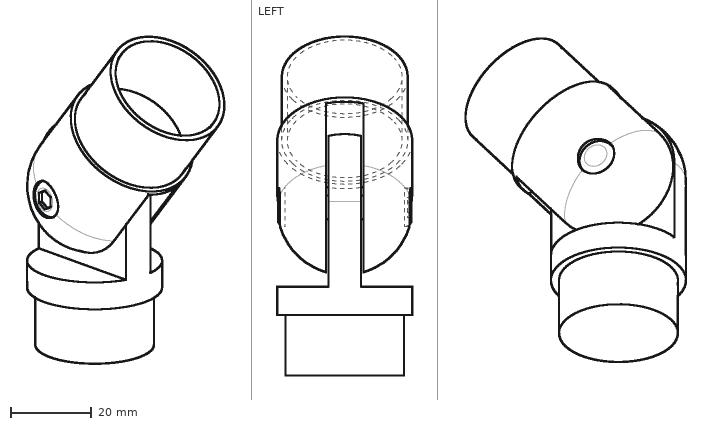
import cadquery as cq

tilt_angle = 40.0
body_diameter = 33.7
body_radius = body_diameter / 2
pivot_height = 41.9

spigot_diameter = 29.7
spigot_length = 15.05
collar_top = 22.15
tongue_thickness = 8.2
tongue_dome_height = 43.4

body_length = 21.65
tube_end = 42.45
tube_diameter = 31.45
tube_bore = 28.7
slot_width = 9.3
slot_end = 20.2

pin_diameter = 6.0
head_diameter = 9.55
head_height = 4.2
head_recess = 0.2
head_face = body_radius - head_recess
head_round = (head_diameter - pin_diameter) / 2
hex_across_flats = 4.3
hex_depth = 1.0
hex_corner_ratio = 2 / 3 ** 0.5


def cylinder(diameter, bottom, top):
    """Cylinder on the Z axis between two heights."""
    return cq.Workplane("XY").workplane(offset=bottom).circle(diameter / 2).extrude(top - bottom)


def make_base():
    """Spigot and collar carrying a flat tongue with a spherical top."""
    spigot = cylinder(spigot_diameter, 0, spigot_length)
    collar = cylinder(body_diameter, spigot_length, collar_top)
    dome = cq.Workplane("XY").sphere(body_radius).translate((0, 0, tongue_dome_height))
    tongue_top = tongue_dome_height + body_radius
    tongue_slab = (
        cq.Workplane("XY")
        .workplane(offset=collar_top)
        .rect(body_diameter, tongue_thickness)
        .extrude(tongue_top - collar_top)
    )
    tongue = cylinder(body_diameter, collar_top, tongue_dome_height).union(dome).intersect(tongue_slab)
    return spigot.union(collar).union(tongue)


def make_fork():
    """Round-ended body with a slot for the tongue and a tube on its far end."""
    body = cylinder(body_diameter, 0, body_length).union(cq.Workplane("XY").sphere(body_radius))
    slot = (
        cq.Workplane("XY")
        .workplane(offset=-body_radius)
        .rect(body_diameter, slot_width)
        .extrude(body_radius + slot_end)
    )
    tube = cylinder(tube_diameter, body_length, tube_end).cut(cylinder(tube_bore, body_length, tube_end))
    fork = body.cut(slot).union(tube)
    return fork.rotate((0, 0, 0), (0, 1, 0), tilt_angle).translate((0, 0, pivot_height))


def pivot_cylinder(diameter, start, length):
    """Cylinder on the pivot axis, running from y = -start toward +Y."""
    return (
        cq.Workplane("XZ", origin=(0, -start, pivot_height))
        .circle(diameter / 2)
        .extrude(-length)
    )


def make_screw_head():
    """Rounded head set slightly below the -Y side of the body."""
    head = pivot_cylinder(head_diameter, head_face, head_height)
    return head.faces("<Y").edges().fillet(head_round)


def make_hex_socket():
    """Hexagonal recess with two flats parallel to Z."""
    return (
        cq.Workplane("XZ", origin=(0, -head_face, pivot_height))
        .transformed(rotate=(0, 0, 90))
        .polygon(6, hex_across_flats * hex_corner_ratio)
        .extrude(-hex_depth)
    )


head_seat = pivot_cylinder(head_diameter, body_radius, head_height)
screw_head = make_screw_head()
pin = pivot_cylinder(pin_diameter, slot_width / 2, slot_width)

fork = make_fork().cut(head_seat).cut(head_seat.mirror("XZ"))
fork = fork.union(screw_head).union(screw_head.mirror("XZ"))

result = make_base().union(fork).union(pin).cut(make_hex_socket())